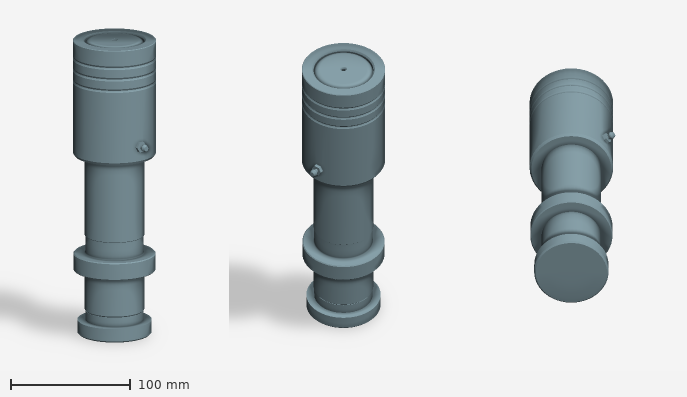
import cadquery as cq
import math

total_height = 255.0

post_radius = 25.0
relief_radius = 24.5
post_bottom = 20.1
post_end_chamfer = 1.0
collar_bottom = 55.0
collar_height = 15.0
collar_radius = 34.5
collar_chamfer = 0.8
collar_relief_height = 1.5
collar_fillet = 1.0
upper_relief_top = 85.7
upper_relief_taper = 0.5
crown_radius = 5.0
centre_hole_radius = 1.8
centre_hole_depth = 7.6
centre_hole_point = 1.0
countersink_radius = 2.8
countersink_depth = 1.3

bush_radius = 35.0
bush_length = 100.0
bush_top_chamfer = 0.5
bush_bottom_chamfer_height = 2.3
bush_bottom_chamfer_width = 1.5
bore_chamfer = 1.3
groove_depth = 1.0
groove_half_width = 1.5
groove_pitch = 10.0
groove_count = 3
first_groove_depth = 15.0

nipple_angle = -15.0
nipple_height = 169.8
hex_across_flats = 8.2
hex_height = 2.8
nipple_neck_radius = 1.8
head_radius = 3.0
head_tip_radius = 2.0
head_start = 3.8
head_band_start = 5.9
head_band_end = 7.0
nipple_reach = 9.0
shank_radius = 3.0
shank_length = 5.0

cap_radius = 31.0
cap_neck_radius = 24.5
cap_flange_height = 12.0
cap_chamfer = 1.3

collar_top = collar_bottom + collar_height
bush_bottom = total_height - bush_length

nipple_cos = math.cos(math.radians(nipple_angle))
nipple_sin = math.sin(math.radians(nipple_angle))
nipple_frame = cq.Plane(
    origin=(bush_radius * nipple_cos, bush_radius * nipple_sin, nipple_height),
    xDir=(-nipple_sin, nipple_cos, 0),
    normal=(nipple_cos, nipple_sin, 0),
)


def revolve_outline(outline):
    """Spin an outline given as radius and height around the vertical axis of its workplane."""
    return outline.close().revolve(360, (0, 0, 0), (0, 1, 0))


def make_post():
    """Round post with a collar, ground reliefs, a rounded crown and a centre hole."""
    outline = (
        cq.Workplane("XZ")
        .moveTo(0, post_bottom)
        .lineTo(post_radius - post_end_chamfer, post_bottom)
        .lineTo(post_radius, post_bottom + post_end_chamfer)
        .lineTo(post_radius, collar_bottom - collar_relief_height)
        .lineTo(relief_radius, collar_bottom - collar_relief_height)
        .lineTo(relief_radius, collar_bottom)
        .lineTo(collar_radius - collar_chamfer, collar_bottom)
        .lineTo(collar_radius, collar_bottom + collar_chamfer)
        .lineTo(collar_radius, collar_top - collar_chamfer)
        .lineTo(collar_radius - collar_chamfer, collar_top)
        .lineTo(relief_radius + collar_fillet, collar_top)
        .radiusArc((relief_radius, collar_top + collar_fillet), collar_fillet)
        .lineTo(relief_radius, upper_relief_top - upper_relief_taper)
        .lineTo(post_radius, upper_relief_top)
        .lineTo(post_radius, total_height - crown_radius)
        .radiusArc((post_radius - crown_radius, total_height), -crown_radius)
        .lineTo(0, total_height)
    )
    return revolve_outline(outline).cut(make_centre_hole())


def make_centre_hole():
    """Countersunk blind hole with a pointed bottom in the top of the post, as a cutting tool."""
    hole_bottom = total_height - centre_hole_depth
    outline = (
        cq.Workplane("XZ")
        .moveTo(0, hole_bottom)
        .lineTo(centre_hole_radius, hole_bottom + centre_hole_point)
        .lineTo(centre_hole_radius, total_height - countersink_depth)
        .lineTo(countersink_radius, total_height)
        .lineTo(0, total_height)
    )
    return revolve_outline(outline)


def make_bush():
    """Sleeve around the post with ring grooves and a socket for the nipple shank."""
    outline = (
        cq.Workplane("XZ")
        .moveTo(post_radius, bush_bottom)
        .lineTo(bush_radius - bush_bottom_chamfer_width, bush_bottom)
        .lineTo(bush_radius, bush_bottom + bush_bottom_chamfer_height)
        .lineTo(bush_radius, total_height - bush_top_chamfer)
        .lineTo(bush_radius - bush_top_chamfer, total_height)
        .lineTo(post_radius + bore_chamfer, total_height)
        .lineTo(post_radius, total_height - bore_chamfer)
    )
    bush = revolve_outline(outline)
    for index in range(groove_count):
        groove_height = total_height - first_groove_depth - index * groove_pitch
        groove = (
            cq.Workplane("XZ")
            .moveTo(bush_radius, groove_height - groove_half_width)
            .lineTo(bush_radius - groove_depth, groove_height)
            .lineTo(bush_radius, groove_height + groove_half_width)
        )
        bush = bush.cut(revolve_outline(groove))
    return bush.cut(make_shank())


def make_shank():
    """Part of the nipple that sits in the bush wall."""
    return cq.Workplane(nipple_frame).circle(shank_radius).extrude(-shank_length)


def make_nipple():
    """Grease nipple: a shank in the bush, a hexagon seated on it, a neck and a tapered head."""
    corner_diameter = hex_across_flats / math.cos(math.radians(30))
    hexagon = cq.Workplane(nipple_frame).polygon(6, corner_diameter).extrude(hex_height)
    head_profile_frame = cq.Plane(
        origin=nipple_frame.origin,
        xDir=nipple_frame.xDir,
        normal=(0, 0, -1),
    )
    head = (
        cq.Workplane(head_profile_frame)
        .lineTo(nipple_neck_radius, 0)
        .lineTo(nipple_neck_radius, head_start)
        .lineTo(head_radius, head_band_start)
        .lineTo(head_radius, head_band_end)
        .lineTo(head_tip_radius, nipple_reach)
        .lineTo(0, nipple_reach)
    )
    return make_shank().union(hexagon).union(revolve_outline(head))


def make_foot_cap():
    """Flanged cap on which the post stands."""
    outline = (
        cq.Workplane("XZ")
        .lineTo(cap_radius - cap_chamfer, 0)
        .lineTo(cap_radius, cap_chamfer)
        .lineTo(cap_radius, cap_flange_height)
        .lineTo(cap_neck_radius, cap_flange_height)
        .lineTo(cap_neck_radius, post_bottom)
        .lineTo(0, post_bottom)
    )
    return revolve_outline(outline)


post = make_post()
bush = make_bush()
nipple = make_nipple()
foot_cap = make_foot_cap()

result = cq.Compound.makeCompound([post.val(), bush.val(), nipple.val(), foot_cap.val()])